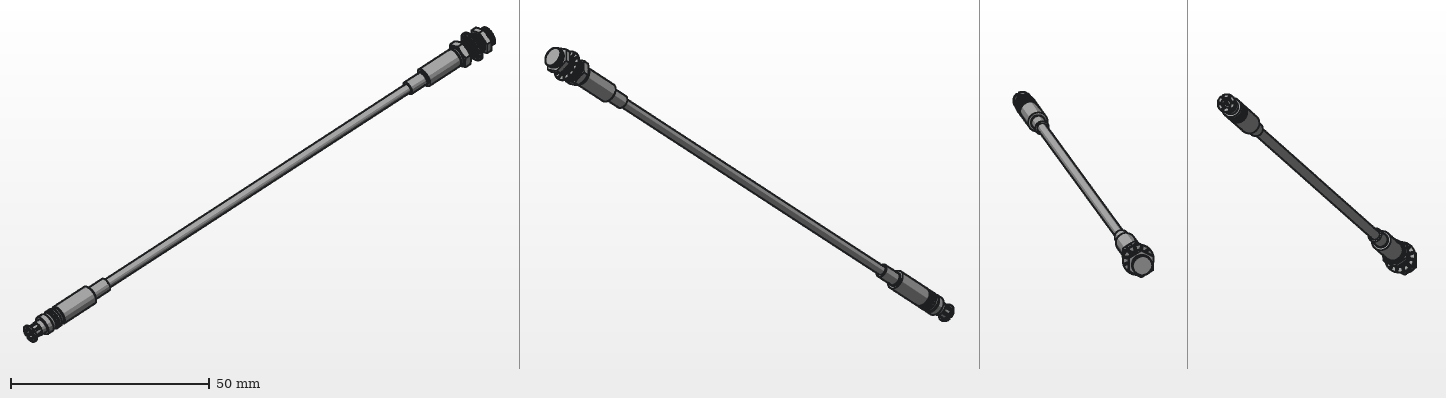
import cadquery as cq
import math

total_length = 152.4
jack_tip = total_length / 2
plug_tip = -total_length / 2

cable_dia = 2.5
boot_dia = 3.5
boot_length = 5.3
collar_dia = 3.7
collar_length = 0.5
shell_dia = 5.0
groove_dia = 4.5
shell_bevel = (shell_dia - groove_dia) / 2

jack_back = 21.5
thread_pitch = 0.5
thread_depth = 0.23
thread_start = 0.3
nut_start = 1.7
nut_end = 3.2
hex_flats = 6.1
hex_corners = hex_flats / math.cos(math.pi / 6)
flange_start = 8.4
flange_end = 10.5
flange_bevel_length = 0.3
flange_bevel_depth = 0.6
jack_shell_start = 11.1

washer_start = 5.3
washer_thickness = 0.5
washer_dia = 8.0
washer_bore = 5.2
washer_notch_count = 12
washer_notch_width = 0.5
washer_notch_reach = 3.5

plug_back = 20.3
rim_front = 0.3
rim_length = 0.6
rim_dia = 4.5
collet_dia = 3.4
collet_root_dia = 3.7
collet_root_front = 3.0
body_front = 4.5
body_back = 6.4
grip_front = 7.2
grip_back = 9.1
grip_groove_dia = 4.7
grip_groove_width = 0.3
plug_shell_start = 9.8
collet_bore = 2.6
collet_depth = 2.9
slot_width = 0.5
slot_count = 6
insulator_dia = 1.8
insulator_front = 1.4
pin_dia = 0.56


def rod(diameter, y_from, y_to):
    """Round bar on the Y axis between two Y positions."""
    return cq.Workplane("XZ", origin=(0, y_from, 0)).circle(diameter / 2).extrude(y_from - y_to)


def hexagon(y_from, y_to):
    """Hexagonal prism on the Y axis with two corners in the plane X = 0."""
    prism = cq.Workplane("XZ", origin=(0, y_from, 0)).polygon(6, hex_corners).extrude(y_from - y_to)
    return prism.rotate((0, 0, 0), (0, 1, 0), 90)


def thread_groove(y_centre):
    """Ring-shaped V groove that is cut into the thread."""
    root_radius = shell_dia / 2 - thread_depth
    half_pitch = thread_pitch / 2
    profile = cq.Workplane("XY").moveTo(root_radius, y_centre)
    profile = profile.lineTo(shell_dia / 2, y_centre + half_pitch)
    profile = profile.lineTo(shell_dia / 2, y_centre - half_pitch).close()
    return profile.revolve(360, (0, 0, 0), (0, 1, 0))


def crimp_rear(shell_front, shell_back, direction):
    """Crimp shell, collar and boot behind a connector; direction points along Y to the cable."""
    shell = rod(shell_dia, shell_front, shell_back)
    front_face = "<Y" if direction > 0 else ">Y"
    shell = shell.faces(front_face).chamfer(shell_bevel)
    collar = rod(collar_dia, shell_back, shell_back + direction * collar_length)
    boot = rod(boot_dia, shell_back, shell_back + direction * boot_length)
    return shell.union(collar).union(boot)


def flange_envelope():
    """Disc through the flange's hexagon corners, bevelled on both faces."""
    corner_radius = hex_corners / 2
    face_radius = corner_radius - flange_bevel_depth
    front = jack_tip - flange_start
    back = jack_tip - flange_end
    profile = cq.Workplane("XY").moveTo(0, front).lineTo(face_radius, front)
    profile = profile.lineTo(corner_radius, front - flange_bevel_length)
    profile = profile.lineTo(corner_radius, back + flange_bevel_length)
    profile = profile.lineTo(face_radius, back).lineTo(0, back).close()
    return profile.revolve(360, (0, 0, 0), (0, 1, 0))


def make_jack():
    barrel = rod(shell_dia, jack_tip, jack_tip - flange_start)
    groove_count = int((flange_start - thread_start) / thread_pitch)
    for i in range(groove_count):
        barrel = barrel.cut(thread_groove(jack_tip - thread_start - (i + 0.5) * thread_pitch))
    nut = hexagon(jack_tip - nut_start, jack_tip - nut_end)
    flange = hexagon(jack_tip - flange_start, jack_tip - flange_end)
    flange = flange.intersect(flange_envelope())
    neck = rod(shell_dia, jack_tip - flange_start, jack_tip - jack_shell_start)
    rear = crimp_rear(jack_tip - jack_shell_start, jack_tip - jack_back, -1)
    return barrel.union(nut).union(flange).union(neck).union(rear)


def make_collet():
    """Slotted spring collet with a rim at its front end."""
    front = plug_tip + rim_front
    collet = rod(collet_dia, front, plug_tip + body_front)
    collet = collet.union(rod(collet_root_dia, plug_tip + collet_root_front, plug_tip + body_front))
    collet = collet.union(rod(rim_dia, front, front + rim_length))
    collet = collet.cut(rod(collet_bore, front, plug_tip + collet_depth))
    slot_length = collet_depth - rim_front
    slot_reach = rim_dia
    for i in range(slot_count):
        slot = cq.Workplane("XY").box(slot_reach, slot_length, slot_width, centered=(False, False, True))
        slot = slot.translate((0, front, 0)).rotate((0, 0, 0), (0, 1, 0), i * 360 / slot_count)
        collet = collet.cut(slot)
    return collet


def make_plug():
    core = rod(groove_dia, plug_tip + body_front, plug_tip + plug_shell_start)
    body = rod(shell_dia, plug_tip + body_front, plug_tip + body_back)
    body = body.faces(">Y").chamfer(shell_bevel)
    grip = rod(shell_dia, plug_tip + grip_front, plug_tip + grip_back)
    grip = grip.faces("<Y or >Y").chamfer(shell_bevel)
    grip_middle = plug_tip + (grip_front + grip_back) / 2
    groove_from = grip_middle - grip_groove_width / 2
    groove_to = grip_middle + grip_groove_width / 2
    groove = rod(shell_dia, groove_from, groove_to).cut(rod(grip_groove_dia, groove_from, groove_to))
    grip = grip.cut(groove)
    insulator = rod(insulator_dia, plug_tip + insulator_front, plug_tip + body_front)
    pin = rod(pin_dia, plug_tip, plug_tip + body_front)
    rear = crimp_rear(plug_tip + plug_shell_start, plug_tip + plug_back, 1)
    front = make_collet().union(insulator).union(pin)
    return front.union(core).union(body).union(grip).union(rear)


def make_cable_assembly():
    cable = rod(cable_dia, jack_tip - jack_back, plug_tip + plug_back)
    return cable.union(make_jack()).union(make_plug())


def make_washer():
    front = jack_tip - washer_start
    back = front - washer_thickness
    washer = rod(washer_dia, front, back).cut(rod(washer_bore, front, back))
    for i in range(washer_notch_count):
        angle = (i + 0.5) * 360 / washer_notch_count
        notch = cq.Workplane("XY").box(
            washer_notch_reach, washer_thickness, washer_notch_width, centered=(False, False, True)
        )
        washer = washer.cut(notch.translate((0, back, 0)).rotate((0, 0, 0), (0, 1, 0), angle))
    return washer


cable_assembly = make_cable_assembly()
washer = make_washer()
result = cq.Compound.makeCompound([cable_assembly.solids().val(), washer.solids().val()])